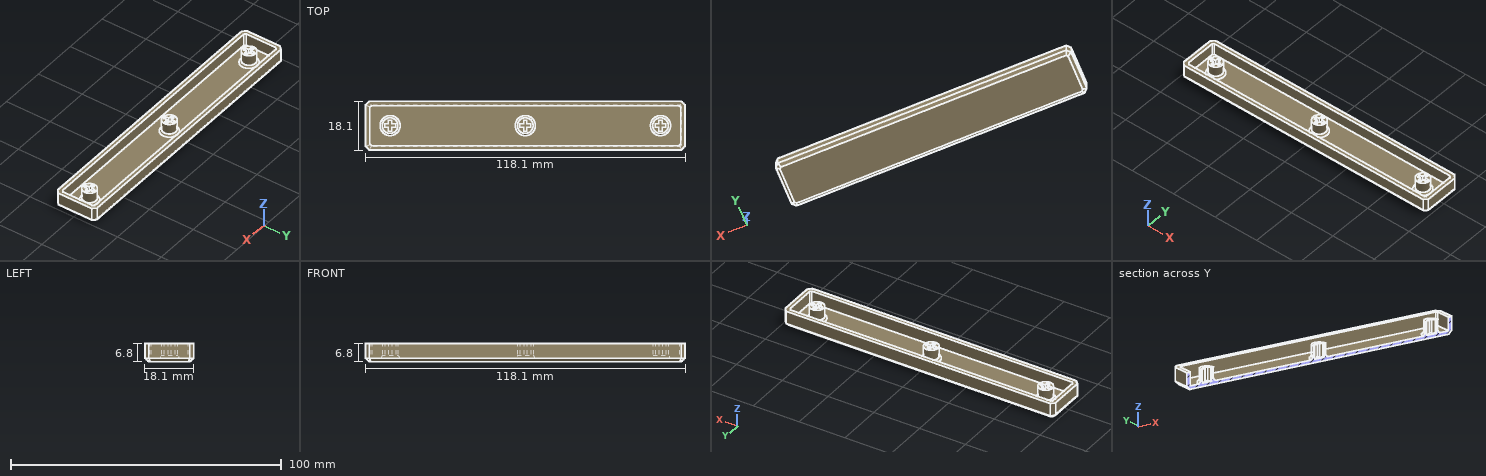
import cadquery as cq

length = 118.1
width = 18.1
height = 6.8
edge_chamfer = 1.4
wall = 1.7
floor = 1.5
cavity_corner_chamfer = 0.6

post_diameter = 5.8
post_pitch = 49.9
post_top = height
post_base_chamfer = 0.8
cross_span = 4.0
cross_arm_width = 1.2


def make_tray():
    """Chamfered block hollowed from the top."""
    block = (
        cq.Workplane("XY")
        .box(length, width, height, centered=(True, True, False))
        .edges("|Z")
        .chamfer(edge_chamfer)
        .faces("<Z")
        .chamfer(edge_chamfer)
    )
    cavity = (
        cq.Workplane("XY", origin=(0, 0, floor))
        .box(length - 2 * wall, width - 2 * wall, height, centered=(True, True, False))
        .edges("|Z")
        .chamfer(cavity_corner_chamfer)
    )
    return block.cut(cavity)


def make_post(x):
    """Solid of revolution with a conical flare where it meets the floor."""
    radius = post_diameter / 2
    flare_radius = radius + post_base_chamfer
    post = (
        cq.Workplane("XZ")
        .moveTo(0, 0)
        .lineTo(flare_radius, 0)
        .lineTo(flare_radius, floor)
        .lineTo(radius, floor + post_base_chamfer)
        .lineTo(radius, post_top)
        .lineTo(0, post_top)
        .close()
        .revolve(360, (0, 0, 0), (0, 1, 0))
    )
    return post.translate((x, 0, 0))


def make_socket(x):
    """Cross-shaped cutter reaching from the post top down to the floor."""
    depth = post_top - floor
    base = cq.Workplane("XY", origin=(x, 0, floor))
    arm_x = base.box(cross_span, cross_arm_width, depth, centered=(True, True, False))
    arm_y = base.box(cross_arm_width, cross_span, depth, centered=(True, True, False))
    return arm_x.union(arm_y)


result = make_tray()
for post_x in (-post_pitch, 0, post_pitch):
    result = result.union(make_post(post_x)).cut(make_socket(post_x))